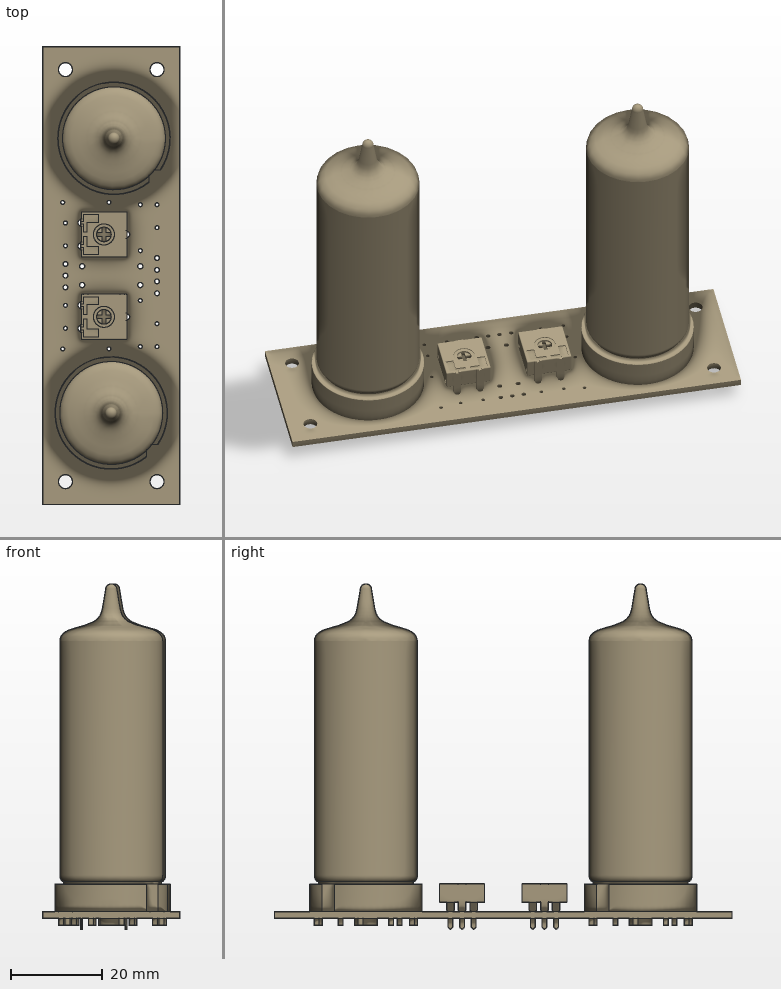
import cadquery as cq
import math


BOARD_WIDTH = 30.0
BOARD_LENGTH = 100.0
BOARD_THICKNESS = 1.5
MOUNT_HOLE_DIA = 3.0
MOUNT_HOLE_X = 10.0
MOUNT_HOLE_Y = 45.0

SMALL_LEAD_DIA = 0.8
MEDIUM_LEAD_DIA = 1.0
LARGE_LEAD_DIA = 1.1
MIRRORED_LEAD_HOLES = [
    (SMALL_LEAD_DIA, -10.6, 16.0),
    (SMALL_LEAD_DIA, -0.5, 16.0),
    (SMALL_LEAD_DIA, 6.35, 15.5),
    (SMALL_LEAD_DIA, 10.0, 15.5),
    (SMALL_LEAD_DIA, -10.0, 11.5),
    (SMALL_LEAD_DIA, 10.0, 10.5),
    (SMALL_LEAD_DIA, -10.0, 6.5),
    (SMALL_LEAD_DIA, 6.35, 5.45),
    (MEDIUM_LEAD_DIA, 10.0, 3.85),
    (MEDIUM_LEAD_DIA, -10.0, 2.55),
    (LARGE_LEAD_DIA, -6.35, 2.05),
    (LARGE_LEAD_DIA, 6.35, 2.05),
    (MEDIUM_LEAD_DIA, 10.0, 1.25),
]
CENTRE_LEAD_HOLE = (MEDIUM_LEAD_DIA, -10.0, 0.0)

SOCKET_CENTRES = [(0.0, -30.0), (0.6, 30.0)]
SOCKET_RADIUS = 12.3
SOCKET_HEIGHT = 6.0
SOCKET_RIM_ROUND = 0.1
SOCKET_PIN_GAP_ANGLE = -42.0
SOCKET_NOTCH_X = 7.7
SOCKET_NOTCH_Y = -6.9
SOCKET_POST_DIA = 5.0
SOCKET_PIN_DIA = 1.1
SOCKET_PIN_CIRCLE_RADIUS = 11.0
SOCKET_PIN_COUNT = 9
SOCKET_PIN_PITCH = 36.0
SOCKET_PIN_REACH = 1.5

TUBE_RADIUS = 11.25
TUBE_NECK_RADIUS = 10.4
TUBE_NECK_HEIGHT = 0.6
TUBE_BOTTOM_RADIUS = 10.65
TUBE_BOTTOM_BULGE = (11.07, 7.1)
TUBE_WALL_START_Z = 7.9
TUBE_SHOULDER_Z = 59.1
TUBE_TIP_Z = 71.6
TUBE_TIP_RADIUS = 1.25
TUBE_DOME_POINTS = [
    (10.75, 60.5),
    (9.3, 61.5),
    (7.0, 62.2),
    (4.8, 62.9),
    (3.2, 63.8),
    (2.45, 64.7),
    (1.95, 66.2),
    (1.6, 68.2),
    (TUBE_TIP_RADIUS, TUBE_TIP_Z - TUBE_TIP_RADIUS),
]

TRIMMER_X = -1.55
TRIMMER_Y = 9.0
TRIMMER_LENGTH = 10.0
TRIMMER_WIDTH = 9.9
TRIMMER_EDGE_ROUND = 0.2
TRIMMER_BOTTOM_Z = 2.0
TRIMMER_TOP_Z = 6.1
LEG_PITCH = 5.08
LEG_WIDTH = 1.7
LEG_THICKNESS = 0.4
LEG_STANDOUT = 0.15
LEG_SHOULDER_Z = 0.3
LEG_PIN_WIDTH = 1.1
LEG_HOLE_DIA = 1.3
LEG_HOLE_SHIFT = 0.1
LEG_TAPER = 0.5
LEG_REACH = 2.4
TRACK_DEPTH = 0.3
TRACK_INSET = 0.5
TRACK_HALF_SPAN = 4.35
TRACK_REACH = 3.8
TRACK_ARM_WIDTH = 0.7
TRACK_END_WIDTH = 1.7
TRACK_GAP = 1.0
TRACK_SLOT_WIDTH = 0.6
ROTOR_X = -0.05
ROTOR_RING_DIA = 4.6
ROTOR_RING_DEPTH = 0.2
ROTOR_DIA = 3.2
ROTOR_DEPTH = 0.6
ROTOR_SLOT_DEPTH = 1.4
ROTOR_SLOT_WIDTH = 0.8
DIMPLE_DIA = 1.0
DIMPLE_INSET = 1.0

BOARD_BOTTOM_Z = -BOARD_THICKNESS
TRIMMER_CENTRES = [(TRIMMER_X, -TRIMMER_Y), (TRIMMER_X, TRIMMER_Y)]
FRONT_LEG_X = -TRIMMER_LENGTH / 2 - LEG_STANDOUT + LEG_THICKNESS / 2
REAR_LEG_X = TRIMMER_LENGTH / 2 - LEG_THICKNESS / 2
LEG_OFFSETS = [
    (FRONT_LEG_X, -LEG_PITCH / 2),
    (FRONT_LEG_X, LEG_PITCH / 2),
    (REAR_LEG_X, 0.0),
]
LEG_HOLE_OFFSETS = [(x + math.copysign(LEG_HOLE_SHIFT, x), y) for x, y in LEG_OFFSETS]


def box(x0, x1, y0, y1, z0, z1):
    return cq.Workplane("XY").box(x1 - x0, y1 - y0, z1 - z0, centered=False).translate((x0, y0, z0))


def cylinder(radius, x, y, z0, z1):
    return cq.Workplane("XY").circle(radius).extrude(z1 - z0).translate((x, y, z0))


def socket_pin_offsets():
    """Pins on an even pitch, with one place left empty at the notch."""
    first = SOCKET_PIN_GAP_ANGLE + SOCKET_PIN_PITCH
    angles = [math.radians(first + i * SOCKET_PIN_PITCH) for i in range(SOCKET_PIN_COUNT)]
    return [(SOCKET_PIN_CIRCLE_RADIUS * math.cos(a), SOCKET_PIN_CIRCLE_RADIUS * math.sin(a)) for a in angles]


def make_board():
    board = box(-BOARD_WIDTH / 2, BOARD_WIDTH / 2, -BOARD_LENGTH / 2, BOARD_LENGTH / 2, BOARD_BOTTOM_Z, 0)
    holes = [CENTRE_LEAD_HOLE]
    for side in (-1, 1):
        holes += [(dia, x, side * y) for dia, x, y in MIRRORED_LEAD_HOLES]
        holes += [(MOUNT_HOLE_DIA, x, side * MOUNT_HOLE_Y) for x in (-MOUNT_HOLE_X, MOUNT_HOLE_X)]
    for cx, cy in SOCKET_CENTRES:
        holes.append((SOCKET_POST_DIA, cx, cy))
        holes += [(SOCKET_PIN_DIA, cx + dx, cy + dy) for dx, dy in socket_pin_offsets()]
    for cx, cy in TRIMMER_CENTRES:
        holes += [(LEG_HOLE_DIA, cx + dx, cy + dy) for dx, dy in LEG_HOLE_OFFSETS]
    for dia, x, y in holes:
        board = board.cut(cylinder(dia / 2, x, y, BOARD_BOTTOM_Z, 0))
    return board


def make_socket():
    socket = cylinder(SOCKET_RADIUS, 0, 0, 0, SOCKET_HEIGHT)
    socket = socket.faces(">Z").edges().fillet(SOCKET_RIM_ROUND)
    notch = box(SOCKET_NOTCH_X, SOCKET_RADIUS, -SOCKET_RADIUS, SOCKET_NOTCH_Y, 0, SOCKET_HEIGHT)
    socket = socket.cut(notch)
    pin_bottom = BOARD_BOTTOM_Z - SOCKET_PIN_REACH
    socket = socket.union(cylinder(SOCKET_POST_DIA / 2, 0, 0, pin_bottom, 0))
    for x, y in socket_pin_offsets():
        socket = socket.union(cylinder(SOCKET_PIN_DIA / 2, x, y, pin_bottom, 0))
    return socket


def make_tube():
    """Glass envelope: narrow neck, rounded bottom, straight wall, domed shoulder and a drawn-out seal tip."""
    neck_top = SOCKET_HEIGHT + TUBE_NECK_HEIGHT
    diagonal = math.sqrt(0.5)
    dome_tangents = [(0, 1)] + [None] * len(TUBE_DOME_POINTS)
    profile = (
        cq.Workplane("XZ")
        .moveTo(0, SOCKET_HEIGHT)
        .lineTo(TUBE_NECK_RADIUS, SOCKET_HEIGHT)
        .lineTo(TUBE_NECK_RADIUS, neck_top)
        .lineTo(TUBE_BOTTOM_RADIUS, neck_top)
        .threePointArc(TUBE_BOTTOM_BULGE, (TUBE_RADIUS, TUBE_WALL_START_Z))
        .lineTo(TUBE_RADIUS, TUBE_SHOULDER_Z)
        .spline(TUBE_DOME_POINTS, tangents=dome_tangents, includeCurrent=True)
        .threePointArc(
            (TUBE_TIP_RADIUS * diagonal, TUBE_TIP_Z - TUBE_TIP_RADIUS * (1 - diagonal)),
            (0, TUBE_TIP_Z),
        )
        .close()
    )
    return profile.revolve(360, (0, 0, 0), (0, 1, 0))


def make_leg(x, y):
    """Flat leg with a shoulder above the board and a pointed pin through it."""
    pin_bottom = BOARD_BOTTOM_Z - LEG_REACH
    half, pin_half = LEG_WIDTH / 2, LEG_PIN_WIDTH / 2
    right_side = [
        (half, TRIMMER_TOP_Z),
        (half, LEG_SHOULDER_Z),
        (pin_half, 0),
        (pin_half, pin_bottom + LEG_TAPER),
    ]
    left_side = [(-u, z) for u, z in reversed(right_side)]
    outline = right_side + [(0, pin_bottom)] + left_side
    leg = cq.Workplane("YZ").polyline(outline).close().extrude(LEG_THICKNESS / 2, both=True)
    return leg.translate((x, y, 0))


def make_track_pockets():
    """Sunken L-shaped contact tracks, each opening through a slot onto its leg."""
    half_length = TRIMMER_LENGTH / 2
    top = TRIMMER_TOP_Z
    track_start = -half_length + TRACK_INSET
    track_end = -half_length + TRACK_REACH
    floor = top - TRACK_DEPTH
    slot_half = TRACK_SLOT_WIDTH / 2
    slot_y = LEG_PITCH / 2
    arm = box(track_start, track_start + TRACK_ARM_WIDTH, TRACK_GAP / 2, TRACK_HALF_SPAN, floor, top)
    end = box(track_start, track_end, TRACK_HALF_SPAN - TRACK_END_WIDTH, TRACK_HALF_SPAN, floor, top)
    slot = box(-half_length - LEG_STANDOUT, track_start, slot_y - slot_half, slot_y + slot_half, floor, top)
    track = arm.union(end).union(slot)
    return track.union(track.mirror("XZ"))


def make_rotor_pocket():
    """Shallow ring recess, deeper round well and a cross slot in its floor."""
    top = TRIMMER_TOP_Z
    ring = cylinder(ROTOR_RING_DIA / 2, ROTOR_X, 0, top - ROTOR_RING_DEPTH, top)
    well = cylinder(ROTOR_DIA / 2, ROTOR_X, 0, top - ROTOR_DEPTH, top)
    slot_bottom = top - ROTOR_SLOT_DEPTH
    slot_half = ROTOR_SLOT_WIDTH / 2
    reach = ROTOR_DIA / 2
    slot_x = box(ROTOR_X - reach, ROTOR_X + reach, -slot_half, slot_half, slot_bottom, top)
    slot_y = box(ROTOR_X - slot_half, ROTOR_X + slot_half, -reach, reach, slot_bottom, top)
    cross = slot_x.union(slot_y).intersect(cylinder(reach, ROTOR_X, 0, slot_bottom, top))
    return ring.union(well).union(cross)


def make_trimmer():
    half_length, half_width = TRIMMER_LENGTH / 2, TRIMMER_WIDTH / 2
    body = box(-half_length, half_length, -half_width, half_width, TRIMMER_BOTTOM_Z, TRIMMER_TOP_Z)
    body = body.edges().fillet(TRIMMER_EDGE_ROUND)
    for x, y in LEG_OFFSETS:
        body = body.union(make_leg(x, y))

    body = body.cut(make_track_pockets())
    body = body.cut(make_rotor_pocket())

    for x in (-half_length + DIMPLE_INSET, half_length - DIMPLE_INSET):
        for side in (-1, 1):
            dimple = cq.Workplane("XY").sphere(DIMPLE_DIA / 2)
            body = body.cut(dimple.translate((x, side * half_width, TRIMMER_BOTTOM_Z + DIMPLE_INSET)))
    return body


board = make_board()
sockets = [make_socket().translate((x, y, 0)) for x, y in SOCKET_CENTRES]
tubes = [make_tube().translate((x, y, 0)) for x, y in SOCKET_CENTRES]
trimmers = [make_trimmer().translate((x, y, 0)) for x, y in TRIMMER_CENTRES]

result = cq.Compound.makeCompound([body.val() for body in [board, *sockets, *tubes, *trimmers]])